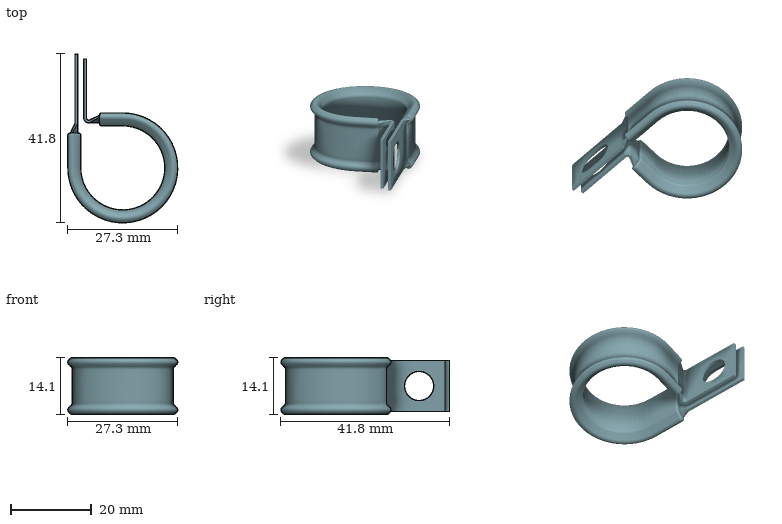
import cadquery as cq
import math


OUTER_RADIUS = 13.625
BAND_OUTER_RADIUS = 12.525
INNER_RADIUS = 10.375
HEIGHT = 14.07
FLANGE_ROOT_Z = 4.49
TIP_ROUNDING = 0.77
INNER_ROUNDING = 0.9
ROOT_ROUNDING = 0.72
MATCH_TOLERANCE = 1e-6

LOOP_ANGLE = 270
LEFT_LEG_END_Y = 8.6
TOP_LEG_END_X = -5.75
END_ROUNDING = 0.5

STRAP_THICKNESS = 0.71
STRAP_INNER_RADIUS = 11.12
STRAP_OUTER_RADIUS = STRAP_INNER_RADIUS + STRAP_THICKNESS
TAB_HEIGHT = 12.72
OVERALL_LENGTH = 41.77
LEFT_TAB_END_Y = OVERALL_LENGTH - OUTER_RADIUS
RIGHT_TAB_END_Y = 27.0
RIGHT_TAB_INNER_X = -8.98
BEND_INNER_RADIUS = 0.6
BEND_OUTER_RADIUS = BEND_INNER_RADIUS + STRAP_THICKNESS

CREASE_Z = 4.47
LEFT_FLARE_LENGTH = 2.45
FLARE_TIP_RADIUS = 13.0
FLARE_TIP_Z = 5.9

HOLE_Y = 20.6
HOLE_DIAMETER = 7.15
SLOT_LENGTH = 9.5


def cushion_section():
    """Closed wire in the XZ plane: X is the radius, Z the height."""
    overshoot = (math.sqrt(2) - 1) * TIP_ROUNDING
    tip_outer_r = OUTER_RADIUS + overshoot
    tip_outer_z = FLANGE_ROOT_Z + tip_outer_r - BAND_OUTER_RADIUS
    tip_inner_z = HEIGHT / 2 + overshoot
    tip_inner_r = tip_outer_r + tip_outer_z - tip_inner_z
    inner_root_z = tip_inner_z - (tip_inner_r - INNER_RADIUS)
    upper = [
        (INNER_RADIUS, inner_root_z),
        (tip_inner_r, tip_inner_z),
        (tip_outer_r, tip_outer_z),
        (BAND_OUTER_RADIUS, FLANGE_ROOT_Z),
    ]
    lower = [(r, -z) for r, z in reversed(upper)]
    outline = cq.Workplane("XZ").polyline(upper + lower).close().val()
    face = cq.Face.makeFromWires(outline)

    roundings = [INNER_ROUNDING, TIP_ROUNDING, TIP_ROUNDING, ROOT_ROUNDING]
    for (corner_r, corner_z), rounding in zip(upper, roundings):
        corner_pair = [
            vertex for vertex in face.Vertices()
            if math.hypot(vertex.X - corner_r, abs(vertex.Z) - corner_z) < MATCH_TOLERANCE
        ]
        face = face.fillet2D(rounding, corner_pair)
    return face.outerWire()


def cushion():
    """Three-quarter loop with a straight leg at each end, ends rounded over."""
    section = cushion_section()
    origin = cq.Vector(0, 0, 0)
    z_axis = cq.Vector(0, 0, 1)
    top_section = section.rotate(origin, z_axis, 90)
    left_section = section.rotate(origin, z_axis, 180)

    loop = cq.Solid.revolve(left_section, [], LOOP_ANGLE, origin, z_axis)
    left_leg = cq.Solid.extrudeLinear(left_section, [], cq.Vector(0, LEFT_LEG_END_Y, 0))
    top_leg = cq.Solid.extrudeLinear(top_section, [], cq.Vector(TOP_LEG_END_X, 0, 0))
    left_leg = cq.Workplane(left_leg).faces(">Y").edges().fillet(END_ROUNDING)
    top_leg = cq.Workplane(top_leg).faces("<X").edges().fillet(END_ROUNDING)
    return cq.Workplane(loop).union(left_leg).union(top_leg)


def flared_corners(length):
    """Upper and lower strap corners in a frame where the strap runs along +Y from Y = 0
    and X is the radius; flat at Y = length and bent outward at Y = 0."""
    tip_step = STRAP_THICKNESS / math.sqrt(2)
    flared = [
        (STRAP_INNER_RADIUS, CREASE_Z),
        (STRAP_OUTER_RADIUS, CREASE_Z),
        (FLARE_TIP_RADIUS, FLARE_TIP_Z),
        (FLARE_TIP_RADIUS - tip_step, FLARE_TIP_Z + tip_step),
    ]
    flat = [
        (STRAP_INNER_RADIUS, CREASE_Z),
        (STRAP_OUTER_RADIUS, CREASE_Z),
        (STRAP_OUTER_RADIUS, TAB_HEIGHT / 2),
        (STRAP_INNER_RADIUS, TAB_HEIGHT / 2),
    ]
    wires = [
        cq.Wire.makePolygon([cq.Vector(r, y, z) for r, z in outline], close=True)
        for outline, y in ((flared, 0), (flat, length))
    ]
    upper = cq.Workplane(cq.Solid.makeLoft(wires, True))
    return upper.union(upper.mirror("XY"))


def box(x_range, y_range, height):
    """Box centred on Z = 0 between the given X and Y limits."""
    size_x = x_range[1] - x_range[0]
    size_y = y_range[1] - y_range[0]
    centre = (sum(x_range) / 2, sum(y_range) / 2, 0)
    return cq.Workplane("XY").box(size_x, size_y, height).translate(centre)


def left_tab():
    """Straight tab continuing the left leg, with a slotted opening."""
    x_range = (-STRAP_OUTER_RADIUS, -STRAP_INNER_RADIUS)
    flat_start_y = LEFT_LEG_END_Y + LEFT_FLARE_LENGTH
    plate = box(x_range, (flat_start_y, LEFT_TAB_END_Y), TAB_HEIGHT)
    neck = box(x_range, (LEFT_LEG_END_Y, flat_start_y), 2 * CREASE_Z)
    corners = flared_corners(LEFT_FLARE_LENGTH).mirror("YZ").translate((0, LEFT_LEG_END_Y, 0))
    slot = (
        cq.Workplane("YZ", origin=(x_range[0], HOLE_Y, 0))
        .slot2D(SLOT_LENGTH, HOLE_DIAMETER)
        .extrude(STRAP_THICKNESS)
    )
    return plate.union(neck).union(corners).cut(slot)


def right_tab():
    """Tab that leaves the top leg, bends through 90 degrees and runs parallel to the left tab."""
    outer_x = RIGHT_TAB_INNER_X - STRAP_THICKNESS
    bend_x = RIGHT_TAB_INNER_X + BEND_INNER_RADIUS
    bend_y = STRAP_OUTER_RADIUS + BEND_INNER_RADIUS
    bent_plate = (
        cq.Workplane("XY", origin=(0, 0, -TAB_HEIGHT / 2))
        .moveTo(outer_x, RIGHT_TAB_END_Y)
        .lineTo(outer_x, bend_y)
        .radiusArc((bend_x, STRAP_INNER_RADIUS), -BEND_OUTER_RADIUS)
        .lineTo(bend_x, STRAP_OUTER_RADIUS)
        .radiusArc((RIGHT_TAB_INNER_X, bend_y), BEND_INNER_RADIUS)
        .lineTo(RIGHT_TAB_INNER_X, RIGHT_TAB_END_Y)
        .close()
        .extrude(TAB_HEIGHT)
    )
    neck = box((bend_x, TOP_LEG_END_X), (STRAP_INNER_RADIUS, STRAP_OUTER_RADIUS), 2 * CREASE_Z)
    corners = (
        flared_corners(TOP_LEG_END_X - bend_x)
        .rotate((0, 0, 0), (0, 0, 1), 90)
        .translate((TOP_LEG_END_X, 0, 0))
    )
    hole = (
        cq.Workplane("YZ", origin=(outer_x, HOLE_Y, 0))
        .circle(HOLE_DIAMETER / 2)
        .extrude(STRAP_THICKNESS)
    )
    return bent_plate.union(neck).union(corners).cut(hole)


result = cushion().union(left_tab()).union(right_tab())